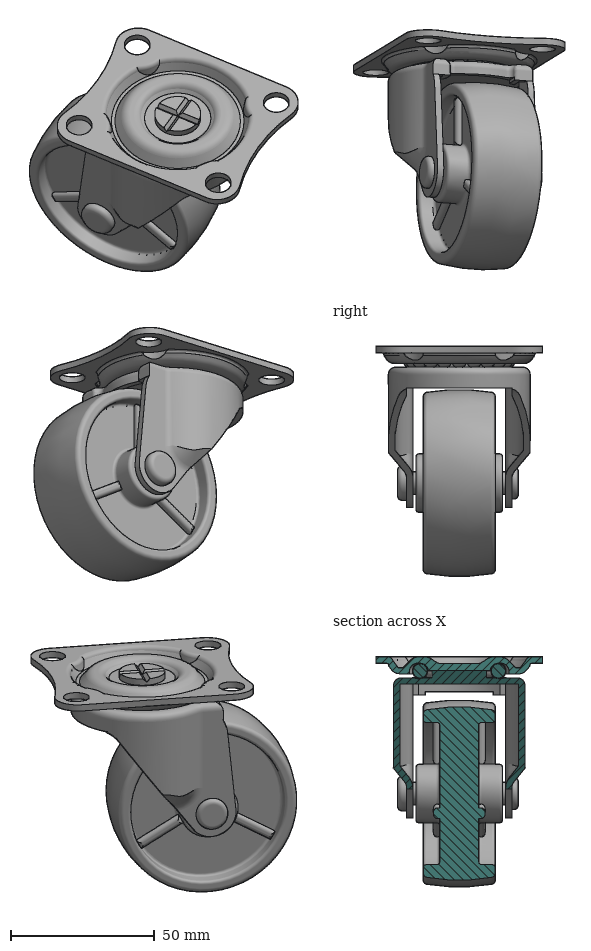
import cadquery as cq
import math

sheet = 2.3
slack = 8.85

wheel_radius = 32.5
axle_x = -21.0
axle_z = -47.5

plate_half_x = 35.05
plate_half_y = 28.98
plate_corner = 8.0
plate_waist = 31.9
hole_x = 27.5
hole_y = 21.02
hole_diameter = 8.9
dish_bottom = -6.1
dish_rim = 26.55
dish_root = 27.1
dent_top = 9.5
dent_floor = 11.5
dent_outer = 9.6
recess_radius = 11.5

ball_count = 20
ball_radius = 2.65
ball_circle = 16.8
ball_z = -sheet - ball_radius

fork_top = -7.3
fork_radius = 24.7
fork_edge = 2.65
skirt_bottom = -14.6
leg_outer = 18.3
leg_inner = leg_outer - sheet
leg_tip = 8.6
tab_front = -25.05
tab_inner = 11.8
tab_bottom = -13.4
tab_root_fillet = 1.8
tab_fillet = 1.1
nose_bottom = -12.2
knee = (-26.6, -18.4)
slope_top = (14.9, skirt_bottom)
slope_fillet = 7.1
bulge_front = -18.4
bulge_bottom = -45.9
bulge_corner = 10.8
bulge_taper = 50.0
bulge_fillet = 4.0
pin_radius = 5.3
shoulder_radius = 13.3
pin_head_radius = 8.0
pin_groove = 2.4

wheel_half = 12.6
tread_edge_radius = 31.6
tread_fillet = 1.7
rim_wall_radius = 27.35
lip_fillet = 1.1
web_fillet = 1.0
web_radius = rim_wall_radius - web_fillet
web_half = 6.8
hub_half = 15.05
hub_radius = 10.2
hub_fillet = 1.1
rib_count = 3
rib_width = 3.3
rib_height = 2.2
rib_fillet = 1.3

axle_radius = 4.0
head_radius = 6.1
head_height = 3.2
head_fillet = 1.9
rivet_radius = 5.6
rivet_height = 2.2
rivet_fillet = 1.6


def tangent_point(point, center, radius, side):
    """Touching point on a circle of the line from an outside point, on the given side (+1 or -1)."""
    dx = point[0] - center[0]
    dz = point[1] - center[1]
    angle = math.atan2(dz, dx) + side * math.acos(radius / math.hypot(dx, dz))
    return (center[0] + radius * math.cos(angle), center[1] + radius * math.sin(angle))


def ball_race():
    """Ring swept by the balls as they roll round the swivel axis."""
    return (
        cq.Workplane("XZ")
        .center(ball_circle, ball_z)
        .circle(ball_radius)
        .revolve(360, (-ball_circle, 0, 0), (-ball_circle, 1, 0))
    )


def hole_cylinders(radius):
    """Cylinders on the four screw hole axes, through the full depth of the plate."""
    return (
        cq.Workplane("XY")
        .workplane(offset=-slack)
        .rect(2 * hole_x, 2 * hole_y, forConstruction=True)
        .vertices()
        .circle(radius)
        .extrude(2 * slack)
    )


def plate_blank():
    """Flat plate with round corners and short sides that curve in."""
    corner_x = plate_half_x - plate_corner
    corner_y = plate_half_y - plate_corner
    offset = corner_x - plate_waist
    waist_radius = (offset**2 + corner_y**2 - plate_corner**2) / (2 * (offset + plate_corner))
    waist_x = plate_waist + waist_radius
    reach = plate_corner / (waist_radius + plate_corner)
    end_x = corner_x + reach * (waist_x - corner_x)
    end_y = corner_y * (1 - reach)
    middle = math.pi / 4 - math.atan2(corner_y - end_y, end_x - corner_x) / 2
    mid_x = corner_x + plate_corner * math.cos(middle)
    mid_y = corner_y + plate_corner * math.sin(middle)
    return (
        cq.Workplane("XY")
        .moveTo(-corner_x, plate_half_y)
        .lineTo(corner_x, plate_half_y)
        .threePointArc((mid_x, mid_y), (end_x, end_y))
        .threePointArc((plate_waist, 0), (end_x, -end_y))
        .threePointArc((mid_x, -mid_y), (corner_x, -plate_half_y))
        .lineTo(-corner_x, -plate_half_y)
        .threePointArc((-mid_x, -mid_y), (-end_x, -end_y))
        .threePointArc((-plate_waist, 0), (-end_x, end_y))
        .threePointArc((-mid_x, mid_y), (-corner_x, plate_half_y))
        .close()
        .extrude(-sheet)
    )


def dent_posts(bottom):
    """Flared posts on the screw hole axes that push the groove wall inward."""
    post = (
        cq.Workplane("XZ")
        .lineTo(dent_top, 0)
        .threePointArc((10.5, -0.4), (11.0, -1.4))
        .lineTo(dent_floor, bottom)
        .lineTo(0, bottom)
        .close()
        .revolve(360, (0, 0, 0), (0, 1, 0))
        .val()
    )
    return (
        cq.Workplane("XY")
        .rect(2 * hole_x, 2 * hole_y, forConstruction=True)
        .vertices()
        .eachpoint(lambda place: post.moved(place), combine=False)
    )


def make_plate():
    """Mounting plate with a pressed ring groove, a raised dome and a sunk centre."""
    bowl = (
        cq.Workplane("XZ")
        .lineTo(dish_root, 0)
        .lineTo(dish_root, -sheet)
        .threePointArc((26.5, -2.6), (26.2, -3.3))
        .lineTo(25.4, -4.4)
        .threePointArc((24.1, -5.7), (22.3, dish_bottom))
        .lineTo(19.5, dish_bottom)
        .lineTo(ball_circle + ball_radius, ball_z)
        .lineTo(0, ball_z)
        .close()
        .revolve(360, (0, 0, 0), (0, 1, 0))
    )
    groove_floor = dish_bottom + sheet
    groove = (
        cq.Workplane("XZ")
        .moveTo(16.6, 0)
        .threePointArc((18.2, -0.35), (19.5, -1.2))
        .lineTo(21.8, groove_floor)
        .lineTo(23.0, groove_floor)
        .lineTo(24.7, -1.4)
        .threePointArc((25.3, -0.4), (dish_rim, 0))
        .close()
        .revolve(360, (0, 0, 0), (0, 1, 0))
    )
    recess = (
        cq.Workplane("XZ")
        .lineTo(15.5, 0)
        .threePointArc((13.5, -0.5), (12.65, -1.4))
        .lineTo(recess_radius, -sheet)
        .lineTo(0, -sheet)
        .close()
        .revolve(360, (0, 0, 0), (0, 1, 0))
    )
    pin_hole = cq.Workplane("XY").circle(pin_radius).extrude(-slack)
    pressing = plate_blank().union(bowl.cut(hole_cylinders(dent_outer)), clean=False)
    dents = pressing.intersect(dent_posts(groove_floor))
    return (
        pressing
        .cut(groove)
        .union(dents)
        .cut(recess)
        .cut(ball_race())
        .cut(pin_hole)
        .cut(hole_cylinders(hole_diameter / 2))
    )


def make_ball_ring():
    """Closed ring of balls, each just running into the next."""
    ring = None
    for index in range(ball_count):
        angle = 2 * math.pi * index / ball_count
        center = (ball_circle * math.cos(angle), ball_circle * math.sin(angle), ball_z)
        ball = cq.Workplane("XY").sphere(ball_radius).translate(center)
        ring = ball if ring is None else ring.union(ball)
    return ring


def fork_plan(inset, top, bottom):
    """Plan shape of the fork: a disc with two front tabs that continue along the legs, shrunk by the inset."""
    radius = fork_radius - inset
    outer_y = leg_outer - inset
    inner_y = tab_inner + inset
    front = tab_front + inset
    plan = cq.Workplane("XY").workplane(offset=bottom).circle(radius).extrude(top - bottom)
    for side in (-1, 1):
        tab = (
            cq.Workplane("XY", origin=(front / 2, side * (outer_y + inner_y) / 2, bottom))
            .rect(-front, outer_y - inner_y)
            .extrude(top - bottom)
        )
        plan = plan.union(tab)
    junction_x = -math.sqrt(radius**2 - outer_y**2)
    for side in (-1, 1):
        junction = cq.selectors.NearestToPointSelector((junction_x, side * outer_y, (top + bottom) / 2))
        plan = plan.edges("|Z").edges(junction).fillet(bulge_fillet + inset)
    return plan


def crown_block():
    """Solid outline of the crown above the legs, with rounded tab sides and top edge."""
    crown = fork_plan(0, fork_top, skirt_bottom)
    wall_x = -math.sqrt(fork_radius**2 - tab_inner**2)
    for x, radius in ((wall_x, tab_root_fillet), (tab_front, tab_fillet)):
        for side in (-1, 1):
            edge = cq.selectors.NearestToPointSelector((x, side * tab_inner, (fork_top + skirt_bottom) / 2))
            crown = crown.edges("|Z").edges(edge).fillet(radius)
    return crown.faces(">Z").edges().fillet(fork_edge)


def bulge(side, inset, base):
    """Lower part of the round skirt outside a leg, closed below by a slope that blends into the leg."""
    taper = math.radians(bulge_taper)
    fillet = bulge_fillet + inset
    blend = bulge_fillet * math.tan((math.pi / 2 - taper) / 2)
    shrink = blend + inset * (1 / math.cos(taper) - math.tan(taper))
    front = bulge_front + shrink
    bottom = bulge_bottom + shrink
    radius = bulge_corner - shrink
    mid = radius * (1 - math.sqrt(0.5))
    mound = (
        cq.Workplane("XZ", origin=(0, -base, 0))
        .moveTo(front, 0)
        .lineTo(front, bottom + radius)
        .threePointArc((front + mid, bottom + mid), (front + radius, bottom))
        .lineTo(fork_radius + slack, bottom)
        .lineTo(fork_radius + slack, 0)
        .close()
        .extrude(fork_radius - base, taper=bulge_taper)
    )
    foot = (
        cq.Workplane("XZ", origin=(0, slack - base, 0))
        .rect(8 * fork_radius, 8 * fork_radius)
        .extrude(slack)
    )
    foot_edge = cq.selectors.BoxSelector(
        (-fork_radius, -base - 0.1, -fork_radius * 3),
        (2 * fork_radius, -base + 0.1, fork_radius),
    )
    mound = foot.union(mound).edges(foot_edge).fillet(fillet).cut(foot)
    column = fork_plan(inset, fork_top - fork_edge, bulge_bottom - slack)
    part = mound.intersect(column)
    return part if side < 0 else part.mirror("XZ")


def fork_profile():
    """Side outline of the fork, as a block across its full width."""
    tip = (axle_x, axle_z)
    front = tangent_point(knee, tip, leg_tip, 1)
    rear = tangent_point(slope_top, tip, leg_tip, -1)
    outline = (
        cq.Workplane("XZ", origin=(0, fork_radius + slack, 0))
        .moveTo(tab_front, fork_top)
        .lineTo(tab_front, tab_bottom)
        .threePointArc((-26.0, -15.4), knee)
        .lineTo(*front)
        .threePointArc((axle_x, axle_z - leg_tip), rear)
        .lineTo(*slope_top)
        .lineTo(fork_radius, skirt_bottom)
        .lineTo(fork_radius, fork_top)
        .close()
        .extrude(2 * (fork_radius + slack))
    )
    corner = cq.selectors.NearestToPointSelector((slope_top[0], 0, slope_top[1]))
    return outline.edges("|Y").edges(corner).fillet(slope_fillet)


def front_opening():
    """Space below the front wall of the crown, higher between the tabs."""
    low = cq.Workplane("XY", origin=(tab_front, 0, tab_bottom)).rect(-tab_front, 2 * leg_inner).extrude(-slack)
    high = cq.Workplane("XY", origin=(tab_front, 0, nose_bottom)).rect(-tab_front, 2 * tab_inner).extrude(-slack)
    return low.union(high)


def swivel_pin():
    """Pin through the plate, with a shoulder below it and a round head staked by a cross of V grooves."""
    shank = cq.Workplane("XY", origin=(0, 0, fork_top - sheet)).circle(pin_radius).extrude(-fork_top)
    shoulder = cq.Workplane("XY", origin=(0, 0, fork_top)).circle(shoulder_radius).extrude(ball_z - fork_top)
    head = cq.Workplane("XY", origin=(0, 0, -sheet)).circle(pin_head_radius).extrude(sheet)
    groove = (
        cq.Workplane("XZ", origin=(0, slack, 0))
        .moveTo(-pin_groove / 2, 0)
        .lineTo(0, -pin_groove / 2)
        .lineTo(pin_groove / 2, 0)
        .close()
        .extrude(2 * slack)
    )
    cross = groove.union(groove.rotate((0, 0, 0), (0, 0, 1), 90))
    return shank.union(shoulder).union(head).cut(cross)


def make_fork():
    """Pressed fork with two legs, a round skirt and the riveted swivel pin."""
    legs_depth = -axle_z + leg_tip
    outer = crown_block()
    inner = fork_plan(sheet, fork_top - sheet, skirt_bottom - slack)
    for side in (-1, 1):
        leg = (
            cq.Workplane("XZ", origin=(0, side * (leg_outer - sheet / 2) + sheet / 2, 0))
            .moveTo(tab_front - slack, fork_top - fork_edge)
            .rect(slack - tab_front, -legs_depth, centered=False)
            .extrude(sheet)
        )
        outer = outer.union(leg).union(bulge(side, 0, leg_outer))
        inner = inner.union(bulge(side, sheet, leg_inner))
    fork = outer.cut(inner).intersect(fork_profile()).cut(front_opening())
    axle_hole = (
        cq.Workplane("XZ", origin=(axle_x, 0, axle_z))
        .circle(axle_radius)
        .extrude(fork_radius + slack, both=True)
    )
    return fork.cut(axle_hole).cut(ball_race()).union(swivel_pin())


def wheel_half_body():
    """Half of the wheel on the -Y side of its middle plane: hub, dished web and rim."""
    return (
        cq.Workplane("XY")
        .moveTo(axle_radius, -hub_half)
        .lineTo(hub_radius - hub_fillet, -hub_half)
        .radiusArc((hub_radius, hub_fillet - hub_half), -hub_fillet)
        .lineTo(hub_radius, -web_half - hub_fillet)
        .radiusArc((hub_radius + hub_fillet, -web_half), hub_fillet)
        .lineTo(web_radius, -web_half)
        .radiusArc((rim_wall_radius, -web_half - web_fillet), web_fillet)
        .lineTo(rim_wall_radius, lip_fillet - wheel_half)
        .radiusArc((rim_wall_radius + lip_fillet, -wheel_half), -lip_fillet)
        .lineTo(tread_edge_radius - tread_fillet, -wheel_half)
        .radiusArc((tread_edge_radius, tread_fillet - wheel_half), -tread_fillet)
        .lineTo(tread_edge_radius, 0)
        .lineTo(axle_radius, 0)
        .close()
        .revolve(360, (0, 0, 0), (0, 1, 0))
        .translate((axle_x, 0, axle_z))
    )


def tread_crown():
    """Shallow crowned ring on the outside of the rim."""
    half_width = wheel_half - tread_fillet
    return (
        cq.Workplane("XY")
        .moveTo(rim_wall_radius + lip_fillet, -half_width)
        .lineTo(tread_edge_radius, -half_width)
        .threePointArc((wheel_radius, 0), (tread_edge_radius, half_width))
        .lineTo(rim_wall_radius + lip_fillet, half_width)
        .close()
        .revolve(360, (0, 0, 0), (0, 1, 0))
        .translate((axle_x, 0, axle_z))
    )


def wheel_rib(angle):
    """Round-topped radial rib on the web, turned about the axle from pointing straight up."""
    length = rim_wall_radius - hub_radius
    return (
        cq.Workplane("XZ", origin=(0, 0, hub_radius + length / 2))
        .rect(rib_width, length)
        .extrude(web_half + rib_height)
        .faces("<Y")
        .edges()
        .fillet(rib_fillet)
        .rotate((0, 0, 0), (0, 1, 0), angle)
        .translate((axle_x, 0, axle_z))
    )


def make_wheel():
    """Wheel with equally spaced ribs on both sides of the web."""
    half = wheel_half_body()
    for index in range(rib_count):
        half = half.union(wheel_rib(index * 360 / rib_count))
    return half.union(half.mirror("XZ")).union(tread_crown())


def axle_end(radius, length, fillet, start, direction):
    """Round head on one end of the axle, with a rounded outer edge."""
    return (
        cq.Workplane("XZ", origin=(axle_x, start, axle_z))
        .circle(radius)
        .extrude(-direction * length)
        .faces(">Y" if direction > 0 else "<Y")
        .edges()
        .fillet(fillet)
    )


def make_axle():
    """Axle through the legs and the hub, with a head on one end and a smaller rivet on the other."""
    shank = cq.Workplane("XZ", origin=(axle_x, leg_outer, axle_z)).circle(axle_radius).extrude(2 * leg_outer)
    head = axle_end(head_radius, head_height, head_fillet, -leg_outer, -1)
    rivet = axle_end(rivet_radius, rivet_height, rivet_fillet, leg_outer, 1)
    return shank.union(head).union(rivet)


plate = make_plate()
ball_ring = make_ball_ring()
fork = make_fork()
wheel = make_wheel()
axle = make_axle()
result = cq.Compound.makeCompound([plate.val(), ball_ring.val(), fork.val(), wheel.val(), axle.val()])